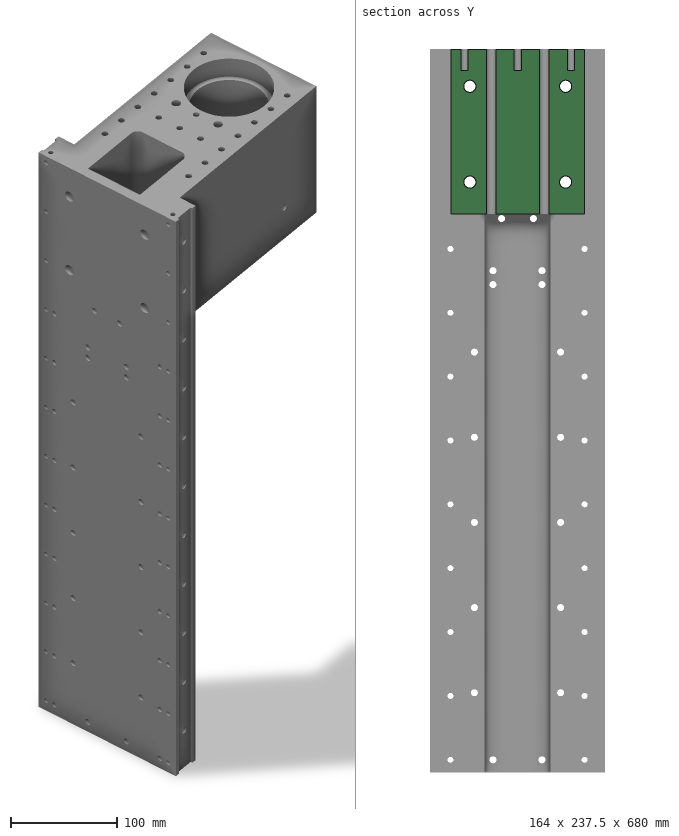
import cadquery as cq


COLUMN_WIDTH = 164.0
COLUMN_DEPTH = 30.0
COLUMN_HEIGHT = 680.0
EDGE_LIP = 5.0
EDGE_GROOVE_DEPTH = 2.0

TOTAL_DEPTH = 237.5
HEAD_WIDTH = 126.0
HEAD_HEIGHT = 155.0
HEAD_BOTTOM = COLUMN_HEIGHT - HEAD_HEIGHT

CHANNEL_WIDTH = 62.0
CHANNEL_FLOOR_Y = 19.0
RUN_OUT_FLOOR_Y = 10.0
RUN_OUT_DEPTH = CHANNEL_FLOOR_Y - RUN_OUT_FLOOR_Y

POCKET_BACK_Y = 83.5
POCKET_CORNER_RADIUS = 8.0

BORE_Y = 185.0
BORE_DIAMETER = 75.0
SEAT_DIAMETER = 85.0
SEAT_DEPTH = 22.0

HEAD_TAP_DIAMETER = 6.4
HEAD_TAP_DEPTH = 20.0
HEAD_TAP_PITCH = 25.0
HEAD_TAP_ROWS = 7
PITCHES_BEFORE_BORE = 5
HEAD_TAP_FIRST_Y = BORE_Y - PITCHES_BEFORE_BORE * HEAD_TAP_PITCH
HEAD_THROUGH_DIAMETER = 9.0
HEAD_THROUGH_Y = 136.5

HEAD_SIDE_TAP_DIAMETER = 6.4
HEAD_SIDE_TAP_DEPTH = 15.0
HEAD_SIDE_TAP_Y = 189.0
HEAD_SIDE_TAP_DROP = 117.0

CLAMP_DIAMETER = 11.0
CLAMP_SPACING = 90.0
CLAMP_TOP_DROP = 35.0

ROW_PITCH = 60.0
ROW_COUNT = 12
ROW_FIRST_Z = 12.0
FRONT_TAP_X = 73.0
FRONT_TAP_DIAMETER = 5.0
FRONT_TAP_DEPTH = 12.0
EDGE_THROUGH_X = 63.0
EDGE_THROUGH_DIAMETER = 5.6
EDGE_THROUGH_ROWS = 9
EDGE_TAP_DIAMETER = 6.4
EDGE_TAP_DEPTH = 12.0
EDGE_TAP_COUNT = 11
EDGE_TAP_Y = COLUMN_DEPTH / 2
EDGE_TAP_FIRST_Z = 45.0

MOUNT_DIAMETER = 6.55
RAIL_SPACING = 81.0
RAIL_PITCH = 80.0
RAIL_ROWS = 5
RAIL_FIRST_Z = 75.0
PAIR_SPACING = 46.0
PAIR_HEIGHTS = (ROW_FIRST_Z, 458.5, 471.5)
UPPER_PAIR_SPACING = 30.0
UPPER_PAIR_Z = 520.5

END_TAP_X = 73.0
END_TAP_Y = 7.0
END_TAP_DIAMETER = 5.0
END_TAP_DEPTH = 12.0


def evenly_spaced(first, pitch, count):
    return [first + i * pitch for i in range(count)]


def mirrored(x, others):
    """Points at +x and -x for each value of the second coordinate."""
    return [(side * x, other) for other in others for side in (-1, 1)]


def block(width, y_start, y_end, z_start, z_end):
    """A box centred on X between two depths and two heights."""
    return (
        cq.Workplane("XY", origin=(0, y_start, z_start))
        .box(width, y_end - y_start, z_end - z_start, centered=(True, False, False))
    )


def holes_from_front(points, diameter, depth):
    """Cylinders going back from the front face at (x, z) points."""
    return cq.Workplane("XZ").pushPoints(points).circle(diameter / 2).extrude(-depth)


def holes_from_top(points, diameter, depth):
    """Cylinders going down from the top face at (x, y) points."""
    top = cq.Workplane("XY", origin=(0, 0, COLUMN_HEIGHT))
    return top.pushPoints(points).circle(diameter / 2).extrude(-depth)


def holes_from_both_sides(points, diameter, depth, half_width):
    """Cylinders going in at (y, z) points from the faces at +X and -X."""
    left = cq.Workplane("YZ", origin=(-half_width, 0, 0))
    drills = left.pushPoints(points).circle(diameter / 2).extrude(depth)
    return drills.union(drills.mirror("YZ"))


def make_column():
    column = block(COLUMN_WIDTH, 0, COLUMN_DEPTH, 0, COLUMN_HEIGHT)
    groove_sides = block(COLUMN_WIDTH, EDGE_LIP, COLUMN_DEPTH - EDGE_LIP, 0, COLUMN_HEIGHT)
    core_width = COLUMN_WIDTH - 2 * EDGE_GROOVE_DEPTH
    groove_core = block(core_width, EDGE_LIP, COLUMN_DEPTH - EDGE_LIP, 0, COLUMN_HEIGHT)
    return column.cut(groove_sides.cut(groove_core))


def make_head():
    return block(HEAD_WIDTH, COLUMN_DEPTH, TOTAL_DEPTH, HEAD_BOTTOM, COLUMN_HEIGHT)


def make_channel():
    """The full-length channel, deepened at the top by a 45 degree wedge."""
    channel = block(CHANNEL_WIDTH, CHANNEL_FLOOR_Y, COLUMN_DEPTH, 0, COLUMN_HEIGHT)
    wedge = (
        cq.Workplane("YZ", origin=(-CHANNEL_WIDTH / 2, 0, 0))
        .moveTo(RUN_OUT_FLOOR_Y, COLUMN_HEIGHT)
        .lineTo(CHANNEL_FLOOR_Y, COLUMN_HEIGHT)
        .lineTo(CHANNEL_FLOOR_Y, COLUMN_HEIGHT - RUN_OUT_DEPTH)
        .close()
        .extrude(CHANNEL_WIDTH)
    )
    return channel.union(wedge)


def make_pocket():
    pocket = block(CHANNEL_WIDTH, COLUMN_DEPTH, POCKET_BACK_Y, HEAD_BOTTOM, COLUMN_HEIGHT)
    return pocket.edges("|Z and >Y").fillet(POCKET_CORNER_RADIUS)


def make_bore():
    bore = holes_from_top([(0, BORE_Y)], BORE_DIAMETER, HEAD_HEIGHT)
    return bore.union(holes_from_top([(0, BORE_Y)], SEAT_DIAMETER, SEAT_DEPTH))


def make_head_holes():
    rows = evenly_spaced(HEAD_TAP_FIRST_Y, HEAD_TAP_PITCH, HEAD_TAP_ROWS)
    _, _, inner_row, middle_row, *_ = rows
    taps = mirrored(2 * HEAD_TAP_PITCH, rows) + mirrored(HEAD_TAP_PITCH, [inner_row])
    taps += [(0, inner_row), (0, middle_row)]
    through = mirrored(HEAD_TAP_PITCH, [HEAD_THROUGH_Y])
    side = [(HEAD_SIDE_TAP_Y, COLUMN_HEIGHT - HEAD_SIDE_TAP_DROP)]
    return [
        holes_from_top(taps, HEAD_TAP_DIAMETER, HEAD_TAP_DEPTH),
        holes_from_top(through, HEAD_THROUGH_DIAMETER, HEAD_HEIGHT),
        holes_from_both_sides(side, HEAD_SIDE_TAP_DIAMETER, HEAD_SIDE_TAP_DEPTH, HEAD_WIDTH / 2),
    ]


def make_clamp_holes():
    top_z = COLUMN_HEIGHT - CLAMP_TOP_DROP
    points = mirrored(CLAMP_SPACING / 2, [top_z, top_z - CLAMP_SPACING])
    return holes_from_front(points, CLAMP_DIAMETER, TOTAL_DEPTH)


def make_edge_holes():
    rows = evenly_spaced(ROW_FIRST_Z, ROW_PITCH, ROW_COUNT)
    side_rows = evenly_spaced(EDGE_TAP_FIRST_Z, ROW_PITCH, EDGE_TAP_COUNT)
    side_points = [(EDGE_TAP_Y, z) for z in side_rows]
    front_taps = mirrored(FRONT_TAP_X, rows)
    through = mirrored(EDGE_THROUGH_X, rows[:EDGE_THROUGH_ROWS])
    end_taps = mirrored(END_TAP_X, [END_TAP_Y])
    return [
        holes_from_front(front_taps, FRONT_TAP_DIAMETER, FRONT_TAP_DEPTH),
        holes_from_front(through, EDGE_THROUGH_DIAMETER, COLUMN_DEPTH),
        holes_from_top(end_taps, END_TAP_DIAMETER, END_TAP_DEPTH),
        holes_from_both_sides(
            side_points,
            EDGE_TAP_DIAMETER,
            EDGE_TAP_DEPTH,
            COLUMN_WIDTH / 2 - EDGE_GROOVE_DEPTH,
        ),
    ]


def make_mount_holes():
    rail_rows = evenly_spaced(RAIL_FIRST_Z, RAIL_PITCH, RAIL_ROWS)
    points = mirrored(RAIL_SPACING / 2, rail_rows)
    points += mirrored(PAIR_SPACING / 2, PAIR_HEIGHTS)
    points += mirrored(UPPER_PAIR_SPACING / 2, [UPPER_PAIR_Z])
    return holes_from_front(points, MOUNT_DIAMETER, COLUMN_DEPTH)


cuts = [make_channel(), make_pocket(), make_bore(), make_clamp_holes(), make_mount_holes()]
cuts += make_head_holes() + make_edge_holes()

result = make_column().union(make_head())
for cut in cuts:
    result = result.cut(cut)